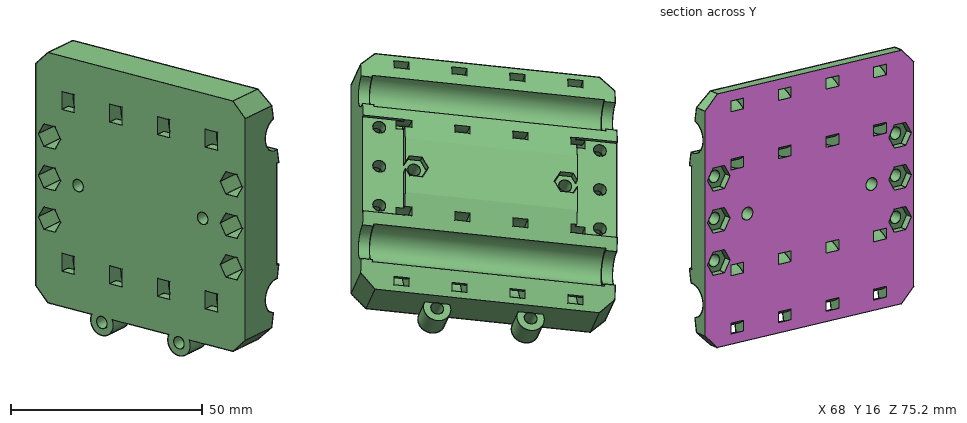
import cadquery as cq

plate_width = 68.0
plate_height = 70.0
plate_depth = 16.0
edge_depth = 11.0
ridge_half_height = 8.0
corner_chamfer = 4.0

groove_z = 22.6
groove_axis_y = 13.5
groove_end_radius = 4.6
groove_seat_radius = 5.2
groove_seat_length = 62.0

strap_pitch = 15.5
strap_count = 4
strap_offset_x = -0.25
strap_width = 4.0
strap_inner_radius = 8.6
strap_outer_radius = 10.9
window_height = 5.0

recess_inner_x = 23.0
recess_half_height = 14.2
recess_floor_y = 13.95

screw_diameter = 3.4
nut_across_corners = 7.2
back_nut_across_corners = 6.7
side_screw_x = 29.5
side_screw_pitch = 11.6
side_screw_rows = (-1, 0, 1)
nut_trap_depth = 10.0
inner_screw_x = 20.2

ear_x = 12.5
ear_radius = 3.65
ear_thickness = 7.0
ear_hole_diameter = 3.4
overall_height = 75.18

half_width = plate_width / 2
half_height = plate_height / 2
ear_z = half_height - overall_height + ear_radius
side_signs = (-1, 1)


def front_plane(y=0.0):
    """XZ sketch plane at depth y, facing -Y."""
    return cq.Workplane(cq.Plane(origin=(0, y, 0), xDir=(1, 0, 0), normal=(0, -1, 0)))


def along_y(sketch, depth):
    """Extrude a front_plane sketch toward +Y."""
    return sketch.extrude(-depth)


def rod_along_x(radius, length, x, z):
    """Cylinder on the groove axis, centred on x."""
    return (
        cq.Workplane("YZ", origin=(x - length / 2, 0, 0))
        .center(groove_axis_y, z)
        .circle(radius)
        .extrude(length)
    )


def make_plate():
    profile = (
        cq.Workplane("YZ", origin=(-half_width, 0, 0))
        .moveTo(0, -half_height)
        .lineTo(edge_depth, -half_height)
        .lineTo(plate_depth, -ridge_half_height)
        .lineTo(plate_depth, ridge_half_height)
        .lineTo(edge_depth, half_height)
        .lineTo(0, half_height)
        .close()
        .extrude(plate_width)
    )
    outline = along_y(front_plane().rect(plate_width, plate_height), plate_depth)
    return profile.intersect(outline.edges("|Y").chamfer(corner_chamfer))


def make_side_recesses():
    width = half_width - recess_inner_x
    centers = [(sign * (recess_inner_x + width / 2), 0) for sign in side_signs]
    sketch = front_plane(recess_floor_y).pushPoints(centers).rect(width, 2 * recess_half_height)
    return along_y(sketch, plate_depth - recess_floor_y)


def make_groove(z):
    """Full-width groove with a wider bearing seat between its ends."""
    ends = rod_along_x(groove_end_radius, plate_width, 0, z)
    seat = rod_along_x(groove_seat_radius, groove_seat_length, 0, z)
    return ends.union(seat)


def make_strap_tunnel(x, z):
    """Ring-shaped tunnel behind a groove, opened to the front face by a window."""
    ring = rod_along_x(strap_outer_radius, strap_width, x, z)
    core = rod_along_x(strap_inner_radius, strap_width, x, z)
    window = along_y(front_plane().center(x, z).rect(strap_width, window_height), groove_axis_y)
    return ring.union(window).cut(core)


def make_ear_cylinders(diameter):
    centers = [(sign * ear_x, ear_z) for sign in side_signs]
    return along_y(front_plane().pushPoints(centers).circle(diameter / 2), ear_thickness)


def make_screw_holes():
    side_centers = [
        (sign * side_screw_x, row * side_screw_pitch) for sign in side_signs for row in side_screw_rows
    ]
    inner_centers = [(sign * inner_screw_x, 0) for sign in side_signs]
    holes = front_plane().pushPoints(side_centers + inner_centers).circle(screw_diameter / 2)
    side_traps = front_plane().pushPoints(side_centers).polygon(6, nut_across_corners)
    inner_traps = front_plane(recess_floor_y).pushPoints(inner_centers).polygon(6, back_nut_across_corners)
    return (
        along_y(holes, plate_depth)
        .union(along_y(side_traps, nut_trap_depth))
        .union(along_y(inner_traps, plate_depth - recess_floor_y))
    )


result = make_plate().cut(make_side_recesses())
for side in side_signs:
    result = result.cut(make_groove(side * groove_z))
    for index in range(strap_count):
        strap_x = strap_offset_x + (index - (strap_count - 1) / 2) * strap_pitch
        result = result.cut(make_strap_tunnel(strap_x, side * groove_z))
result = result.cut(make_screw_holes())
result = result.union(make_ear_cylinders(2 * ear_radius)).cut(make_ear_cylinders(ear_hole_diameter))